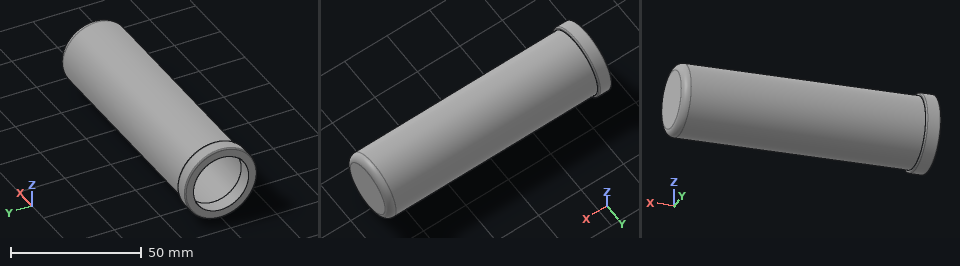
import cadquery as cq

total_length = 104
body_diameter = 29.0
collar_diameter = 31.4
collar_length = 6.0
collar_edge_radius = 0.5
end_radius = 3.0

bore_diameter = 24.0
bore_length = 6.0
relief_diameter = 26
end_wall = 3.0


def cylinder(diameter, start, end):
    """Solid cylinder on the X axis between two X positions."""
    return cq.Workplane("YZ").workplane(offset=start).circle(diameter / 2).extrude(end - start)


body = cylinder(body_diameter, 0, total_length).faces(">X").edges().fillet(end_radius)
collar = cylinder(collar_diameter, 0, collar_length).edges("%CIRCLE").fillet(collar_edge_radius)
bore = cylinder(bore_diameter, 0, bore_length)
relief = cylinder(relief_diameter, bore_length, total_length - end_wall)

result = body.union(collar).cut(bore).cut(relief)